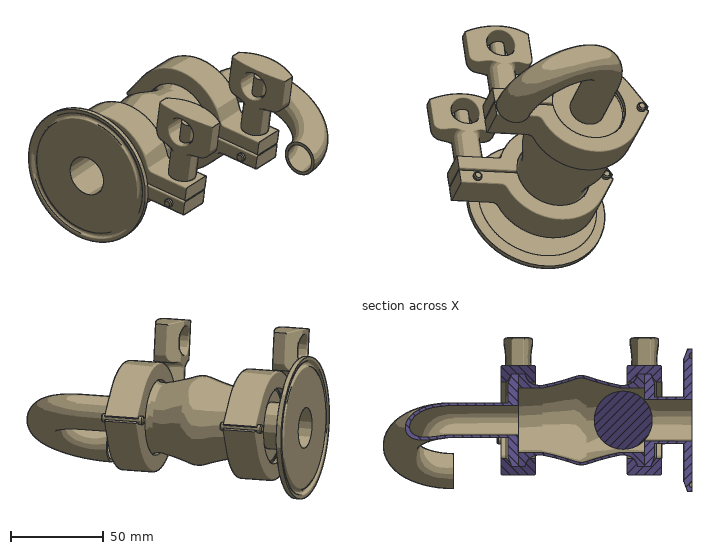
import cadquery as cq
import math

LENGTH = 167.4

INLET_FLANGE_RADIUS = 38.7
INLET_RIM = 2.7
INLET_BACK_RADIUS = 33.3
FLANGE_SLOPE = math.tan(math.radians(20.0))
INLET_TUBE_RADIUS = 12.7
INLET_BORE_RADIUS = 11.0
SEAL_GROOVE_RING = 35.0
SEAL_GROOVE_RADIUS = 1.5
SEAL_GROOVE_ROUND = 0.7

FRONT_JOINT = 26.0
JOINT_PITCH = 68.3
JOINTS = [FRONT_JOINT, FRONT_JOINT + JOINT_PITCH]
JOINT_FLANGE_RADIUS = 25.3
JOINT_RIM = 3.7
JOINT_BACK_RADIUS = 20.1

VALVE_MIDDLE = FRONT_JOINT + JOINT_PITCH / 2
NECK_RADIUS = 19.0
WALL = 1.7
BULGE_RADIUS = 24.5
BULGE_EDGE_RADIUS = 24.0
BULGE_HALF_LENGTH = 3.0
CONE_HALF_LENGTH = 20.8
CONE_SAG = 0.3
NECK_HALF_LENGTH = 23.3

BALL_RADIUS = 15.9

HOOK_TUBE_RADIUS = 9.5
HOOK_BORE_RADIUS = 7.9
HOOK_BEND_RADIUS = 28.6
HOOK_TILT = 28.8
HOOK_BEND_START = LENGTH - HOOK_BEND_RADIUS - HOOK_TUBE_RADIUS

CLAMP_TILT = 7.7
CLAMP_RADIUS = 29.8
CLAMP_WIDTH = 18.9
CLAMP_BORE_RADIUS = 20.6
CLAMP_EDGE_ROUND = 1.0
HINGE_TANGENT_ANGLE = 31.6
HINGE_END = 34.1
HINGE_PIN_X = -29.6
HINGE_NOTCH_HALF = 1.5
EAR_END = 53.7
EAR_HALF_HEIGHT = 8.7
EAR_FILLET = 3.3
EAR_GAP = 0.7
PIN_RADIUS = 2.3
PIN_CHAMFER = 0.7
HINGE_PIN_LENGTH = 24.0
BOLT_PIN_LENGTH = 23.0
BOLT_PIN_Z = -4.7

BOLT_X = 44.0
STUD_RADIUS = 3.93
STUD_TOP = 42.3
SHANK_RADIUS = 7.62
SHANK_TOP = 24.5
SHANK_FOOT_ROUND = 1.3
WING_BOTTOM = 27.6
WING_SIDE_TOP = 48.5
WING_CROWN = 50.2
WING_HALF_WIDTH = 17.9
WING_CORNER = 5.0
WING_HALF_THICKNESS = 7.78
WING_END_HALF_THICKNESS = 3.3
WING_EDGE_ROUND = 0.7
WING_HOLE_RADIUS = 7.95
WING_HOLE_Z = 39.2


def turned(profile):
    """A solid of revolution about the Y axis from a closed profile of radius and Y."""
    return profile.close().revolve(360, (0, 0, 0), (0, 1, 0))


def cylinder_y(radius, y_start, y_end):
    return cq.Workplane("XZ", origin=(0, y_start, 0)).circle(radius).extrude(y_start - y_end)


def flange(radius, rim, back_radius, face_y, direction):
    """A disc whose back tapers inwards; direction is the Y sense from the face to the back."""
    rim_y = face_y + direction * rim
    back_y = rim_y + direction * (radius - back_radius) * FLANGE_SLOPE
    profile = (
        cq.Workplane("XY")
        .moveTo(0, face_y)
        .lineTo(radius, face_y)
        .lineTo(radius, rim_y)
        .lineTo(back_radius, back_y)
        .lineTo(0, back_y)
    )
    return turned(profile)


def joint_flange(face_y, direction):
    return flange(JOINT_FLANGE_RADIUS, JOINT_RIM, JOINT_BACK_RADIUS, face_y, direction)


def make_inlet():
    groove = cq.Solid.makeTorus(
        SEAL_GROOVE_RING, SEAL_GROOVE_RADIUS, cq.Vector(0, 0, 0), cq.Vector(0, 1, 0)
    )
    face = flange(INLET_FLANGE_RADIUS, INLET_RIM, INLET_BACK_RADIUS, 0, 1).cut(cq.Workplane(groove))
    groove_edges = cq.selectors.BoxSelector(
        (-INLET_BACK_RADIUS * 1.12, -0.2, -INLET_BACK_RADIUS * 1.12),
        (INLET_BACK_RADIUS * 1.12, 0.2, INLET_BACK_RADIUS * 1.12),
        boundingbox=True,
    )
    face = face.edges(groove_edges).fillet(SEAL_GROOVE_ROUND)
    tube = cylinder_y(INLET_TUBE_RADIUS, INLET_RIM, FRONT_JOINT)
    bore = cylinder_y(INLET_BORE_RADIUS, -1.7, FRONT_JOINT + 1.7)
    return face.union(tube).union(joint_flange(FRONT_JOINT, -1)).cut(bore)


def shell_body(inset, end_half_length):
    """The valve's waisted outline, moved inwards by inset and ending in straight necks."""
    neck = NECK_RADIUS - inset
    bulge_edge = BULGE_EDGE_RADIUS - inset
    cone_middle_y = (BULGE_HALF_LENGTH + CONE_HALF_LENGTH) / 2
    cone_middle = (neck + bulge_edge) / 2 - CONE_SAG
    profile = (
        cq.Workplane("XY", origin=(0, VALVE_MIDDLE, 0))
        .moveTo(0, -end_half_length)
        .lineTo(neck, -end_half_length)
        .lineTo(neck, -CONE_HALF_LENGTH)
        .threePointArc((cone_middle, -cone_middle_y), (bulge_edge, -BULGE_HALF_LENGTH))
        .threePointArc((BULGE_RADIUS - inset, 0), (bulge_edge, BULGE_HALF_LENGTH))
        .threePointArc((cone_middle, cone_middle_y), (neck, CONE_HALF_LENGTH))
        .lineTo(neck, end_half_length)
        .lineTo(0, end_half_length)
    )
    return profile.close().revolve(360, (0, 0, 0), (0, 1, 0))


def neck_flange(face_y, direction):
    """A small flange whose tapered back blends into a valve neck."""
    slope = math.atan(FLANGE_SLOPE)
    neck_start = JOINT_PITCH / 2 - NECK_HALF_LENGTH
    taper_rise = (JOINT_FLANGE_RADIUS - NECK_RADIUS) * FLANGE_SLOPE
    blend = (neck_start - JOINT_RIM - taper_rise) / (1 / math.cos(slope) - FLANGE_SLOPE)

    def blend_point(angle):
        radius = NECK_RADIUS + blend * (1 - math.cos(angle))
        return radius, face_y + direction * (neck_start - blend * math.sin(angle))

    blend_end = math.pi / 2 - slope
    profile = (
        cq.Workplane("XY")
        .moveTo(0, face_y)
        .lineTo(JOINT_FLANGE_RADIUS, face_y)
        .lineTo(JOINT_FLANGE_RADIUS, face_y + direction * JOINT_RIM)
        .lineTo(*blend_point(blend_end))
        .threePointArc(blend_point(blend_end / 2), blend_point(0))
        .lineTo(0, face_y + direction * neck_start)
    )
    return turned(profile)


def make_valve():
    outside = shell_body(0, NECK_HALF_LENGTH)
    outside = outside.union(neck_flange(JOINTS[0], 1)).union(neck_flange(JOINTS[1], -1))
    return outside.cut(shell_body(WALL, JOINT_PITCH / 2 + 1.7))


def make_ball():
    seat_height = math.sqrt(BALL_RADIUS**2 - INLET_BORE_RADIUS**2)
    return cq.Workplane("XY", origin=(0, FRONT_JOINT + seat_height, 0)).sphere(BALL_RADIUS)


def hook_bend(radius):
    """A half-turn bend that leaves the flow axis and comes back on its +X side."""
    start = cq.Workplane("XZ", origin=(0, HOOK_BEND_START, 0)).circle(radius)
    return start.revolve(180, (HOOK_BEND_RADIUS, 1.7, 0), (HOOK_BEND_RADIUS, -1.7, 0))


def make_hook():
    bend = hook_bend(HOOK_TUBE_RADIUS).cut(hook_bend(HOOK_BORE_RADIUS))
    tube = cylinder_y(HOOK_TUBE_RADIUS, JOINTS[1], HOOK_BEND_START)
    bore = cylinder_y(HOOK_BORE_RADIUS, JOINTS[1] - 1.7, HOOK_BEND_START)
    hook = joint_flange(JOINTS[1], 1).union(tube).cut(bore).union(bend)
    return hook.rotate((0, 0, 0), (0, 1, 0), HOOK_TILT)


def clamp_block():
    """The ring outline with its hinge corner at -X and its ears at +X, edges rounded."""
    tangent = math.radians(HINGE_TANGENT_ANGLE)
    tangent_x = -CLAMP_RADIUS * math.cos(tangent)
    tangent_z = CLAMP_RADIUS * math.sin(tangent)
    hinge_z = (CLAMP_RADIUS - HINGE_END * math.cos(tangent)) / math.sin(tangent)
    fillet_z = EAR_HALF_HEIGHT + EAR_FILLET
    fillet_x = math.sqrt((CLAMP_RADIUS + EAR_FILLET) ** 2 - fillet_z**2)
    shoulder = CLAMP_RADIUS / (CLAMP_RADIUS + EAR_FILLET)
    mid_angle = (math.pi * 1.5 + math.atan2(fillet_z, fillet_x) + math.pi) / 2
    fillet_mid = (
        fillet_x + EAR_FILLET * math.cos(mid_angle),
        fillet_z + EAR_FILLET * math.sin(mid_angle),
    )
    block = (
        cq.Workplane("XZ")
        .moveTo(-HINGE_END, hinge_z)
        .lineTo(tangent_x, tangent_z)
        .threePointArc((0, CLAMP_RADIUS), (fillet_x * shoulder, fillet_z * shoulder))
        .threePointArc(fillet_mid, (fillet_x, EAR_HALF_HEIGHT))
        .lineTo(EAR_END, EAR_HALF_HEIGHT)
        .lineTo(EAR_END, -EAR_HALF_HEIGHT)
        .lineTo(fillet_x, -EAR_HALF_HEIGHT)
        .threePointArc((fillet_mid[0], -fillet_mid[1]), (fillet_x * shoulder, -fillet_z * shoulder))
        .threePointArc((0, -CLAMP_RADIUS), (tangent_x, -tangent_z))
        .lineTo(-HINGE_END, -hinge_z)
        .close()
        .extrude(CLAMP_WIDTH / 2, both=True)
    )
    gap = cq.Workplane("XY").box(EAR_END, CLAMP_WIDTH * 2, EAR_GAP, centered=(False, True, True))
    bore = cylinder_y(CLAMP_BORE_RADIUS, -CLAMP_WIDTH, CLAMP_WIDTH)
    bore_edges = cq.selectors.BoxSelector(
        (-CLAMP_RADIUS * 0.8, -CLAMP_WIDTH, -CLAMP_RADIUS * 0.8),
        (CLAMP_RADIUS * 0.8, CLAMP_WIDTH, CLAMP_RADIUS * 0.8),
        boundingbox=True,
    )
    block = block.cut(gap).cut(bore)
    rims = block.faces("<Y or >Y")
    return rims.edges(cq.selectors.InverseSelector(bore_edges)).edges("not(>X)").fillet(CLAMP_EDGE_ROUND)


def pin(x, z, length):
    rod = cq.Workplane("XZ", origin=(x, 0, z)).circle(PIN_RADIUS).extrude(length / 2, both=True)
    return rod.faces("<Y or >Y").chamfer(PIN_CHAMFER)


def make_clamp():
    """One clamp ring centred on the origin, with its hinge pin and bolt pin."""
    notch = (
        cq.Workplane("XZ")
        .moveTo(HINGE_PIN_X, 0)
        .lineTo(-HINGE_END, HINGE_NOTCH_HALF)
        .lineTo(-HINGE_END, -HINGE_NOTCH_HALF)
        .close()
        .extrude(CLAMP_WIDTH, both=True)
    )
    flange_groove = neck_flange(0, 1).union(neck_flange(0, -1))
    stud_hole = cq.Workplane("XY", origin=(BOLT_X, 0, EAR_GAP / 2)).circle(STUD_RADIUS).extrude(EAR_END)
    ring = clamp_block().cut(notch).cut(flange_groove).cut(stud_hole)
    return ring.union(pin(HINGE_PIN_X, 0, HINGE_PIN_LENGTH)).union(
        pin(BOLT_X, BOLT_PIN_Z, BOLT_PIN_LENGTH)
    )


def wing_lens():
    """An upright prism with a lens-shaped section, holding the wing's two curved faces."""
    w, end, mid = WING_HALF_WIDTH, WING_END_HALF_THICKNESS, WING_HALF_THICKNESS
    return (
        cq.Workplane("XY", origin=(BOLT_X, 0, EAR_HALF_HEIGHT))
        .moveTo(-w, -end)
        .threePointArc((0, -mid), (w, -end))
        .lineTo(w, end)
        .threePointArc((0, mid), (-w, end))
        .close()
        .extrude(WING_CROWN)
    )


def make_wing_screw():
    """One wing nut with its shank and stud, in the untilted place of its clamp at the origin."""
    wing = (
        cq.Workplane("XZ", origin=(BOLT_X, 0, 0))
        .moveTo(-WING_HALF_WIDTH, WING_BOTTOM)
        .lineTo(-WING_HALF_WIDTH, WING_SIDE_TOP)
        .threePointArc((0, WING_CROWN), (WING_HALF_WIDTH, WING_SIDE_TOP))
        .lineTo(WING_HALF_WIDTH, WING_BOTTOM)
        .close()
        .extrude(CLAMP_WIDTH, both=True)
        .edges("|Y and <Z")
        .fillet(WING_CORNER)
    )
    flare = WING_BOTTOM - SHANK_TOP
    flare_middle = (SHANK_RADIUS + flare * (1 - math.sqrt(0.5)), flare * math.sqrt(0.5))
    neck = (
        cq.Workplane("XZ", origin=(BOLT_X, 0, SHANK_TOP))
        .lineTo(SHANK_RADIUS, 0)
        .threePointArc(flare_middle, (SHANK_RADIUS + flare, flare))
        .lineTo(0, flare)
        .close()
        .revolve(360, (0, 0, 0), (0, 1, 0))
    )
    wing = wing.union(neck).intersect(wing_lens())
    hole = (
        cq.Workplane("XZ", origin=(BOLT_X, 0, WING_HOLE_Z))
        .circle(WING_HOLE_RADIUS)
        .extrude(CLAMP_WIDTH, both=True)
    )
    wing = wing.cut(hole)
    front_edges = cq.selectors.BoxSelector(
        (-EAR_END * 2, WING_END_HALF_THICKNESS + 0.2, 0), (EAR_END * 2, CLAMP_WIDTH, EAR_END)
    )
    back_edges = cq.selectors.BoxSelector(
        (-EAR_END * 2, -CLAMP_WIDTH, 0), (EAR_END * 2, -WING_END_HALF_THICKNESS - 0.2, EAR_END)
    )
    wing = wing.edges(front_edges + back_edges).fillet(WING_EDGE_ROUND)
    shank = (
        cq.Workplane("XY", origin=(BOLT_X, 0, EAR_HALF_HEIGHT))
        .circle(SHANK_RADIUS)
        .extrude(SHANK_TOP - EAR_HALF_HEIGHT)
        .faces("<Z")
        .edges()
        .fillet(SHANK_FOOT_ROUND)
    )
    stud = (
        cq.Workplane("XY", origin=(BOLT_X, 0, -EAR_GAP / 2))
        .circle(STUD_RADIUS)
        .extrude(STUD_TOP + EAR_GAP / 2)
    )
    return wing.union(shank).union(stud)


def at_joint(body, joint_y):
    return body.rotate((0, 0, 0), (0, 1, 0), CLAMP_TILT).translate((0, joint_y, 0))


inlet = make_inlet()
valve = make_valve()
ball = make_ball()
hook = make_hook()
clamps = [at_joint(make_clamp(), joint_y) for joint_y in JOINTS]
wing_screws = [at_joint(make_wing_screw(), joint_y) for joint_y in JOINTS]

result = cq.Compound.makeCompound(
    [body.val() for body in [inlet, valve, ball, hook, *clamps, *wing_screws]]
)